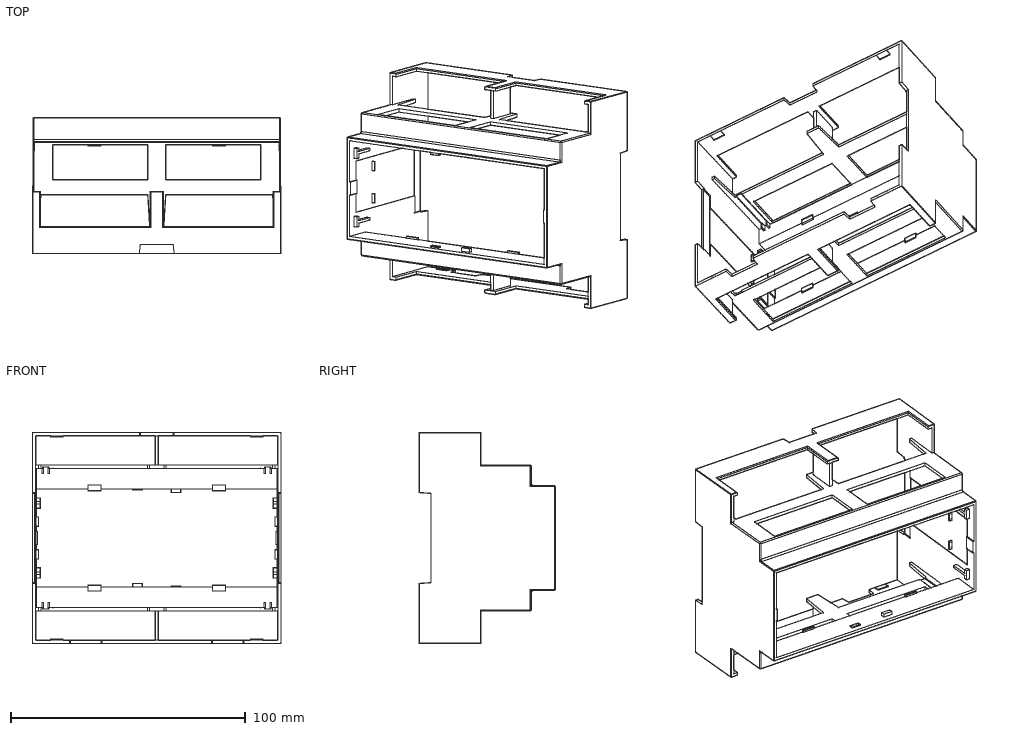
import cadquery as cq

length = 106.0
depth = 58.0
height = 90.0
wall = 1.5
side_wall = 1.4
side_draft = 0.4
inner_draft = 0.5
base_chamfer, middle_chamfer, nose_chamfer = 0.2, 0.5, 0.3

base_z, base_end = height / 2, 26.4
middle_z, middle_end = 31.2, 47.8
nose_z = 22.3
root_fill = 0.7

half = length / 2
inner_half = half - side_wall
base_in, middle_in, nose_in = base_z - wall, middle_z - wall, nose_z - wall
step_inner = middle_end - wall
past = 1.1

rail_depth, rail_z, rail_lean = 5.0, 19.3, 0.3

opening_y = 11.5
opening_chamfer = 0.4
finger_half = 2.9
flange_x = 49.4
bar_half = 7.7 / 2
window_x = 44.2
window_y = 31.5
window_ledge = 0.2

plate_front = 25.0
tongue_end = 10.9
tongue_tip_half = 6.0 / 2
side_tongue_root, side_tongue_tip = 49.3, 50.4
rib_thickness, rib_start = 1.5, 12.7

notch_depth, notch_draft = 3.9, 0.4
top_notch_half = 7.4
bottom_notch_half, bottom_notch_x = 6.9, 30.2

barb_x, barb_length = 42.5, 5.3
barb_start, barb_end, barb_height = 0.4, 2.8, 0.4

latch_x, latch_length = 26.5, 5.6
latch_z, latch_height = 20.0, 2.4
latch_front, latch_back = 45.9, 46.7

stop_x, stop_length = 8.2, 4.1
stop_start, stop_end = 54.1, 55.6
tall_stop, short_stop = 1.5, 0.4

guide_x, guide_spacing = 47.3, 2.6
post_width, post_bottom, post_depth = 0.6, 27.5, 2.1
groove_depth = 0.5

outer_block = (53.3, 54.8, 12.6, 17.1, 49.5)
outer_rib = (45.2, 53.3, 14.5, 15.6, 49.5)
inner_block = (40.5, 41.0, 5.0, 9.0, 50.2)
centre_block = (53.0, depth, -2.9, 2.9, 50.7)

front_recess_end, front_recess_z, front_recess_depth = 9.8, 18.5, 0.5
channel_end, channel_z, channel_depth = 53.0, 11.1, 0.2


def block(x0, x1, y0, y1, z0, z1):
    """Box between two values on each axis, given in rising order."""
    return cq.Workplane("XY").box(x1 - x0, y1 - y0, z1 - z0, centered=False).translate((x0, y0, z0))


def plate(points, z0, z1):
    """Flat plate with an outline in X and Y, between two heights."""
    return cq.Workplane("XY").workplane(offset=z0).polyline(points).close().extrude(z1 - z0)


def both_sides(body):
    """The body with its mirror image at -X."""
    return body.union(body.mirror("YZ"))


def both_halves(body):
    """The body with its mirror image at -Z."""
    return body.union(body.mirror("XY"))


def wall_x(y):
    """X of the inner side face at a given y."""
    return inner_half - inner_draft * y / depth


def tapered_block(front_half, draft, half_z):
    """Full-depth block between two leaning side faces, centred in Z."""
    points = [
        (-front_half, 0),
        (front_half, 0),
        (front_half - draft, depth),
        (draft - front_half, depth),
    ]
    return plate(points, -half_z, half_z)


def outer_step(end, half_z, chamfer):
    """Solid step from y = 0 to its end face, chamfered except around y = 0."""
    body = block(-half, half, 0, end, -half_z, half_z)
    body = body.intersect(tapered_block(half, side_draft, half_z))
    return body.edges("not <Y").chamfer(chamfer)


def outer_body():
    body = outer_step(base_end, base_z, base_chamfer)
    body = body.union(outer_step(middle_end, middle_z, middle_chamfer))
    body = body.union(outer_step(depth, nose_z, nose_chamfer))
    fill = [
        (step_inner, nose_z + root_fill),
        (middle_end, nose_z + root_fill),
        (middle_end + root_fill, nose_z),
        (middle_end + root_fill, nose_in),
        (step_inner, nose_in),
    ]
    fill_half = half - side_draft - nose_chamfer
    fill_bar = cq.Workplane("YZ").polyline(fill).close().extrude(fill_half, both=True)
    return body.union(both_halves(fill_bar))


def cavity():
    core = block(-half, half, 0, base_end, -base_in, base_in)
    core = core.union(block(-half, half, 0, step_inner, -middle_in, middle_in))
    core = core.union(block(-half, half, 0, depth, -nose_in, nose_in))
    return core.intersect(tapered_block(inner_half, inner_draft, base_z))


def rail_notch():
    outline = [
        (0, -rail_z),
        (0, rail_z),
        (rail_depth, rail_z - rail_lean),
        (rail_depth, rail_lean - rail_z),
    ]
    return cq.Workplane("YZ").polyline(outline).close().extrude(half, both=True)


def base_openings():
    far_y = base_end + past

    def rectangle(growth):
        low_x, low_y = finger_half - growth, opening_y - growth
        high_x = flange_x + growth
        return [(low_x, low_y), (high_x, low_y), (high_x, far_y), (low_x, far_y)]

    rim = (
        cq.Workplane("XY")
        .workplane(offset=base_z - opening_chamfer)
        .polyline(rectangle(0))
        .close()
        .workplane(offset=opening_chamfer)
        .polyline(rectangle(opening_chamfer))
        .close()
        .loft(ruled=True)
    )
    return both_sides(plate(rectangle(0), base_in, base_z).union(rim))


def middle_extension():
    """Front of the upper middle plate with its three tongues, and the centre rib."""
    wall_tip, wall_root = wall_x(tongue_end) + wall / 2, wall_x(base_end) + wall / 2
    right = [
        (tongue_tip_half, tongue_end),
        (bar_half, plate_front),
        (side_tongue_root, plate_front),
        (side_tongue_tip, tongue_end),
        (wall_tip, tongue_end),
        (wall_root, base_end),
    ]
    left = [(-x, y) for x, y in reversed(right)]
    rib = block(-rib_thickness / 2, rib_thickness / 2, rib_start, plate_front, middle_z - wall / 2, base_in)
    return plate(right + left, middle_in, middle_z).union(rib)


def clip_notch(centre, mouth_half, z0):
    root_half = mouth_half - notch_draft
    points = [
        (centre - mouth_half, 0),
        (centre + mouth_half, 0),
        (centre + root_half, notch_depth),
        (centre - root_half, notch_depth),
    ]
    return plate(points, z0, z0 + wall)


def barbs():
    profile = [
        (barb_start, base_in),
        (barb_end, base_in),
        (barb_end, base_in - barb_height),
    ]
    barb = cq.Workplane("YZ").workplane(offset=barb_x - barb_length / 2)
    return both_sides(barb.polyline(profile).close().extrude(barb_length))


def latches():
    x0 = latch_x - latch_length / 2
    latch = block(x0, x0 + latch_length, latch_front, latch_back, latch_z, latch_z + latch_height)
    return both_sides(latch)


def nose_stops():
    """Stops on the upper nose plate; a half turn about Y gives those on the lower one."""
    upper = None
    for centre, drop in ((stop_x, tall_stop), (-stop_x, short_stop)):
        x0 = centre - stop_length / 2
        stop = block(x0, x0 + stop_length, stop_start, stop_end, nose_in - drop, nose_in)
        upper = stop if upper is None else upper.union(stop)
    return upper.union(upper.rotate((0, 0, 0), (0, 1, 0), 180))


def guide_grooves():
    x0 = guide_x - guide_spacing / 2
    groove = block(x0, x0 + guide_spacing, plate_front, step_inner, middle_in, middle_in + groove_depth)
    return both_sides(groove)


def guide_posts():
    posts = cq.Workplane("XY")
    for side in (-1, 1):
        x0 = guide_x + side * guide_spacing / 2 - post_width / 2
        post_front = step_inner - post_depth
        post = block(x0, x0 + post_width, post_front, step_inner, post_bottom, middle_in + groove_depth)
        posts = posts.add(post)
    return both_sides(posts.combine())


def wall_block(y0, y1, z0, z1, face_x):
    return both_sides(block(face_x, wall_x(y1) + wall / 2, y0, y1, z0, z1))


def wall_recess(y0, y1, half_z, recess):
    """Recess of even depth that follows the lean of the inner side face."""
    points = [
        (wall_x(y0) - wall, y0),
        (wall_x(y0) + recess, y0),
        (wall_x(y1) + recess, y1),
        (wall_x(y1) - wall, y1),
    ]
    return both_sides(plate(points, -half_z, half_z))


shell = outer_body().cut(cavity()).cut(rail_notch())
shell = shell.cut(wall_recess(0, front_recess_end, front_recess_z, front_recess_depth))
shell = shell.cut(wall_recess(front_recess_end, channel_end, channel_z, channel_depth))

shell = shell.cut(both_halves(base_openings()))
shell = shell.union(both_halves(middle_extension()))
window = block(bar_half, window_x, window_y, step_inner + window_ledge, middle_in, middle_z)
shell = shell.cut(both_halves(both_sides(window)))
shell = shell.cut(both_halves(guide_grooves()))

shell = shell.cut(clip_notch(0, top_notch_half, base_in))
for notch_x in (-bottom_notch_x, bottom_notch_x):
    shell = shell.cut(clip_notch(notch_x, bottom_notch_half, -base_z))

fittings = [barbs(), latches(), guide_posts()]
for sizes in (outer_block, outer_rib, inner_block):
    fittings.append(wall_block(*sizes))
for fitting in fittings:
    shell = shell.union(both_halves(fitting))
shell = shell.union(wall_block(*centre_block))
shell = shell.union(nose_stops())

result = shell